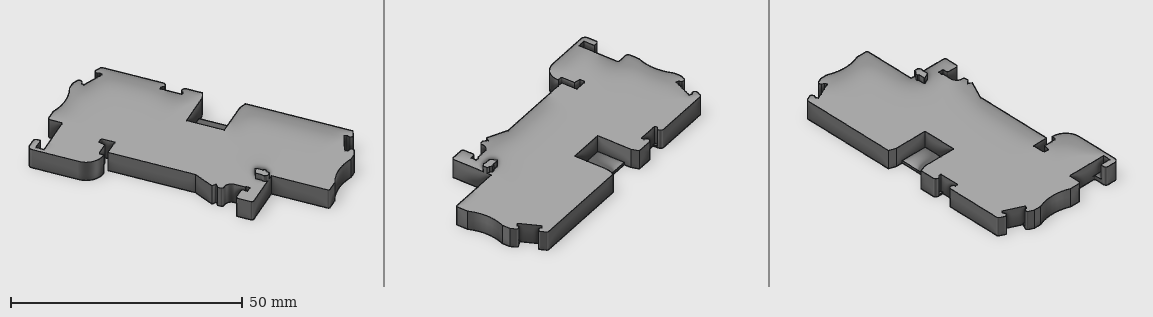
import cadquery as cq
import math

length = 66.0
width = 33.0
plate_thickness = 4.95
total_height = 6.5
center_x = length / 2

shoulder_x = 3.5
shoulder_y = 25.4
shoulder_tilt = math.atan2(shoulder_x, width - shoulder_y)
shoulder_round = 0.5
shoulder_notch_width = 4.35
shoulder_notch_depth = 2.05
shoulder_notch_offset = 4.0

top_notch_x = 20.7
top_notch_width = 3.95
top_notch_depth = 2.2

top_mouth_round = 0.8
shoulder_mouth_round = 0.5
undercut_wall = 0.65
undercut_height = 1.1
undercut_floor = 0.4
top_undercut_reach = 0.6
shoulder_undercut_reach = 0.5

window_left = 27.85
window_right = 36.7
window_bottom = 22.5
window_floor = 0.65
ledge_top = 29.45
window_flare = 0.6
window_flare_y = 31.2

grip_y = 18.95
grip_half_chord = 4.55
grip_depth = 0.9

body_bottom = 11.35
body_left_round = 0.65
body_right_round = 0.4
rail_face_y = 5.4

neck_left = 3.4
neck_round = 0.3
hook_top = 3.75
hook_top_round = 0.65
hook_bottom_round = 1.05
hook_lip = 1.5
hook_floor_y = 1.05
hook_web = 1.05
hook_web_round = 0.45
hook_nose_x = 16.1
hook_nose_y = 4.2
hook_nose_round = 4.1

slot_left = 14.9
slot_right = 16.55
slot_top = 9.4
slot_pocket_left = 13.3
slot_pocket_low = 8.05
slot_shoulder_low = 7.65
slot_pocket_round = 0.45
slot_root_round = 0.4

wedge_start = 37.1
wedge_tip_x = 42.0
wedge_tip_y = 3.05
bead_valley_x = 42.6
bead_valley_y = 3.95
bead_left = 43.3
bead_right = 44.55
bead_root_round = 1.65
bead_round = 0.5

leg_left = 48.4
leg_right = 52.4
leg_bottom = 1.05
leg_neck = 49.75
leg_toe_top = 4.3
leg_relief_x = 48.85
leg_relief_y = 5.6
leg_round = 0.5

pin_left = 48.9
pin_right = leg_right
pin_bottom = 9.05
pin_top = 10.7
pin_tip_drop = 0.1
pin_tip_run = 0.25
pin_foot_left = 49.7
pin_bump_left = 50.7
pin_bump_right = 51.3
pin_bump_rise = 0.25
pin_bump_run = 0.1
pin_shoulder_x = 51.75
pin_shoulder_y = 10.5
pin_right_top = 10.3
pin_right_low = 9.25
pin_toe_x = 51.75
pin_toe_drop = 0.2
pin_toe_run = 0.65
pin_round = 0.2


def rounded_outline(corners):
    """Closed wire through (x, y, radius) corners; a radius of 0 stays sharp."""
    starts, middles, ends = [], [], []
    count = len(corners)
    for i, (x, y, radius) in enumerate(corners):
        corner = cq.Vector(x, y)
        to_previous = (cq.Vector(*corners[i - 1][:2]) - corner).normalized()
        to_next = (cq.Vector(*corners[(i + 1) % count][:2]) - corner).normalized()
        half_angle = to_previous.getAngle(to_next) / 2
        setback = radius / math.tan(half_angle)
        inset = radius / math.sin(half_angle) - radius
        starts.append(corner + to_previous * setback)
        middles.append(corner + (to_previous + to_next).normalized() * inset)
        ends.append(corner + to_next * setback)

    outline = cq.Workplane("XY").moveTo(ends[-1].x, ends[-1].y)
    for (_, _, radius), start, middle, end in zip(corners, starts, middles, ends):
        outline = outline.lineTo(start.x, start.y)
        if radius > 0:
            outline = outline.threePointArc((middle.x, middle.y), (end.x, end.y))
    return outline.close()


def on_edge(origin, direction, along, depth):
    """Point a distance along an edge and a depth to the right of its direction."""
    along_x, along_y = math.cos(direction), math.sin(direction)
    x = origin[0] + along * along_x + depth * along_y
    y = origin[1] + along * along_y - depth * along_x
    return x, y


def notch_corners(origin, direction, notch_width, depth, mouth_round):
    """Outline corners of a notch centred on origin, listed along the edge."""
    half = notch_width / 2
    return [
        (*on_edge(origin, direction, -half, 0), mouth_round),
        (*on_edge(origin, direction, -half, depth), 0),
        (*on_edge(origin, direction, half, depth), 0),
        (*on_edge(origin, direction, half, 0), mouth_round),
    ]


def notch_undercuts(origin, direction, notch_width, depth, reach):
    """Cutter for the undercuts at both floor corners of a notch."""
    half = notch_width / 2
    profile = [
        (-half, depth),
        (-half - reach, depth),
        (-half - reach, depth - undercut_wall),
        (-half, depth - undercut_height),
        (half, depth - undercut_height),
        (half + reach, depth - undercut_wall),
        (half + reach, depth),
        (half, depth),
    ]
    points = [on_edge(origin, direction, along, down) for along, down in profile]
    cutter = cq.Workplane("XY").workplane(offset=undercut_floor).polyline(points).close()
    return cutter.extrude(plate_thickness - undercut_floor)


def mirrored(corners):
    """Corners reflected to the other end of the plate, order reversed."""
    return [(length - x, y, radius) for x, y, radius in reversed(corners)]


shoulder_direction = math.pi / 2 - shoulder_tilt
shoulder_notch = on_edge((0, shoulder_y), shoulder_direction, shoulder_notch_offset, 0)
top_notch = (top_notch_x, width)

left_hook_side = [
    (0, 0, hook_bottom_round),
    (0, hook_top, hook_top_round),
    (hook_lip, hook_top, 0),
    (hook_lip, hook_floor_y, 0),
    (neck_left, hook_floor_y, 0),
    (neck_left, body_bottom, neck_round),
    (0, body_bottom, body_left_round),
]
left_shoulder = [
    (0, shoulder_y, 0),
    *notch_corners(
        shoulder_notch, shoulder_direction,
        shoulder_notch_width, shoulder_notch_depth, shoulder_mouth_round,
    ),
    (shoulder_x, width, shoulder_round),
]
top_edge = [
    *notch_corners(top_notch, 0, top_notch_width, top_notch_depth, top_mouth_round),
    (window_left - window_flare, width, 0),
    (window_left, window_flare_y, 0),
    (window_left, ledge_top, 0),
    (window_right, ledge_top, 0),
    (window_right, window_flare_y, 0),
    (window_right + window_flare, width, 0),
]
right_leg = [
    (length, body_bottom, body_right_round),
    (leg_right, body_bottom, 0),
    (leg_right, leg_bottom, leg_round),
    (leg_left, leg_bottom, leg_round),
    (leg_left, leg_toe_top, leg_round),
    (leg_neck, leg_toe_top, 0),
    (leg_neck, leg_relief_y, 0),
    (leg_relief_x, leg_relief_y, 0),
    (leg_relief_x, rail_face_y, 0),
]
rail_latch = [
    (bead_right, rail_face_y, bead_root_round),
    (bead_right, wedge_tip_y, bead_round),
    (bead_left, wedge_tip_y, 0),
    (bead_valley_x, bead_valley_y, 0),
    (wedge_tip_x, wedge_tip_y, 0),
    (wedge_start, rail_face_y, 0),
]
slot_and_hook_nose = [
    (slot_right, rail_face_y, 0),
    (slot_right, slot_top, 0),
    (slot_pocket_left, slot_top, slot_pocket_round),
    (slot_pocket_left, slot_pocket_low, 0),
    (slot_left, slot_shoulder_low, 0),
    (slot_left, hook_nose_y, slot_root_round),
    (hook_nose_x, hook_nose_y, 0),
    (hook_nose_x, 0, hook_nose_round),
]
plate_corners = (
    left_hook_side + left_shoulder + top_edge + mirrored(left_shoulder)
    + right_leg + rail_latch + slot_and_hook_nose
)
plate = rounded_outline(plate_corners).extrude(plate_thickness)

grip_radius = (grip_half_chord**2 + grip_depth**2) / (2 * grip_depth)
grip_offset = grip_radius - grip_depth
grips = (
    cq.Workplane("XY")
    .pushPoints([(-grip_offset, grip_y), (length + grip_offset, grip_y)])
    .circle(grip_radius)
    .extrude(plate_thickness)
)

window = (
    cq.Workplane("XY", origin=(window_left, window_bottom, window_floor))
    .box(
        window_right - window_left,
        ledge_top - window_bottom,
        plate_thickness - window_floor,
        centered=False,
    )
)

top_undercuts = notch_undercuts(top_notch, 0, top_notch_width, top_notch_depth, top_undercut_reach)
left_undercuts = notch_undercuts(
    shoulder_notch, shoulder_direction,
    shoulder_notch_width, shoulder_notch_depth, shoulder_undercut_reach,
)
right_undercuts = left_undercuts.mirror("YZ", (center_x, 0, 0))

web = (
    cq.Workplane("XY")
    .moveTo(hook_lip, hook_floor_y)
    .lineTo(neck_left, hook_floor_y)
    .lineTo(neck_left, hook_top + hook_web_round)
    .radiusArc((neck_left - hook_web_round, hook_top), hook_web_round)
    .lineTo(hook_lip, hook_top)
    .close()
    .extrude(hook_web)
)

pin_corners = [
    (pin_left, pin_top - pin_tip_drop, 0),
    (pin_left + pin_tip_run, pin_top, 0),
    (pin_bump_left, pin_top, 0),
    (pin_bump_left + pin_bump_run, pin_top + pin_bump_rise, 0),
    (pin_bump_right, pin_top + pin_bump_rise, 0),
    (pin_shoulder_x, pin_shoulder_y, 0),
    (pin_right, pin_right_top, 0),
    (pin_right, pin_right_low, pin_round),
    (pin_toe_x, pin_bottom - pin_toe_drop, pin_round),
    (pin_toe_x - pin_toe_run, pin_bottom, 0),
    (pin_foot_left, pin_bottom, 0),
]
pin = (
    rounded_outline(pin_corners)
    .extrude(total_height - plate_thickness)
    .translate((0, 0, plate_thickness))
)

result = (
    plate.cut(grips)
    .cut(window)
    .cut(top_undercuts)
    .cut(left_undercuts)
    .cut(right_undercuts)
    .union(web)
    .union(pin)
)